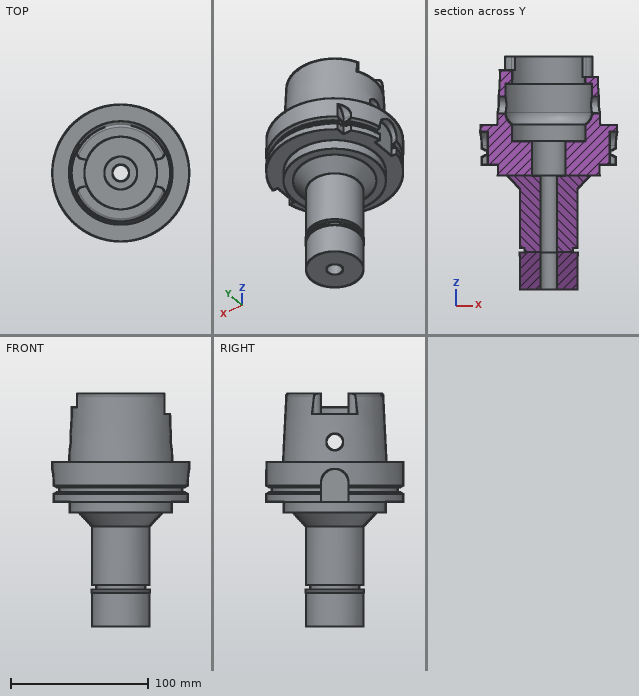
import cadquery as cq
import math


shank_height = 50.0
shank_base_radius = 37.8
shank_taper = 1 / 20
shank_top_radius = shank_base_radius - shank_taper * shank_height
shank_top_fillet = 2.0

bore_radius = 26.5
undercut_radius = 31.5
undercut_top_z = 30.0
undercut_wall_bottom_z = 9.1
undercut_arc_radius = 10.0
floor_z = -11.8
floor_hole_radius = 12.0
cross_hole_radius = 6.0
cross_hole_z = 14.6

notch_width = 20.0
notch_floor_left_z = 40.0
notch_floor_right_z = 35.0
notch_face_x = 32.0
notch_corner_radius = 5.0

flange_radius = 50.0
flange_bottom_z = -29.0
groove_root_radius = 46.0
groove_ledge_radius = 47.4
groove_top_z = -17.0
groove_bottom_z = -23.5
groove_flank_height = 1.5
collar_radius = 37.3
collar_bottom_z = -37.0

slot_radius = 10.0
slot_top_z = -5.0
drive_slot_floor_x = 44.5
index_slot_floor_x = 31.8
index_slot_y = 41.5

through_hole_radius = 6.0
cone_top_radius = 30.4
stem_radius = 21.0
cone_bottom_z = -47.0
stem_bottom_z = -89.8
neck_radius = 18.0

adapter_top_z = -92.8
adapter_bottom_z = -120.0
rim_radius = 21.4
rim_bottom_z = -95.0
rim_chamfer_bottom_z = -95.5

cut_margin = 5.0


def spin(profile):
    """Full turn of a (radius, z) profile about Z."""
    return profile.revolve(360, (0, 0, 0), (0, 1, 0))


def revolve_profile(points):
    """Solid of revolution about Z from (radius, z) points."""
    return spin(cq.Workplane("YZ").polyline(points).close())


def rim_notch(notch_floor_z):
    """Cutter for the +X rim notch: a channel that flares to the full width beyond the notch face."""
    half_width = notch_width / 2
    corner_y = half_width + notch_corner_radius
    outer = flange_radius
    outline = (
        cq.Workplane("XY", origin=(0, 0, notch_floor_z))
        .moveTo(0, -half_width)
        .lineTo(notch_face_x - notch_corner_radius, -half_width)
        .radiusArc((notch_face_x, -corner_y), notch_corner_radius)
        .lineTo(notch_face_x, -outer)
        .lineTo(outer, -outer)
        .lineTo(outer, outer)
        .lineTo(notch_face_x, outer)
        .lineTo(notch_face_x, corner_y)
        .radiusArc((notch_face_x - notch_corner_radius, half_width), notch_corner_radius)
        .lineTo(0, half_width)
        .close()
    )
    return outline.extrude(shank_height + cut_margin - notch_floor_z)


def flange_slot(floor_x, center_y):
    """Cutter for a round-topped slot, open at the bottom of the flange, on the +X side."""
    center_z = slot_top_z - slot_radius
    height = center_z - flange_bottom_z
    length = flange_radius + cut_margin - floor_x
    plane = cq.Workplane("YZ", origin=(floor_x, center_y, center_z))
    round_top = plane.circle(slot_radius).extrude(length)
    straight = plane.center(0, -height / 2).rect(2 * slot_radius, height).extrude(length)
    return round_top.union(straight)


def half_turn(cutter):
    return cutter.rotate((0, 0, 0), (0, 0, 1), 180)


def make_shank():
    shank = revolve_profile([
        (0, 0),
        (shank_base_radius, 0),
        (shank_top_radius, shank_height),
        (0, shank_height),
    ])
    return shank.faces(">Z").edges().fillet(shank_top_fillet)


def make_flange():
    return revolve_profile([
        (0, 0),
        (flange_radius, 0),
        (flange_radius, groove_top_z),
        (groove_ledge_radius, groove_top_z - groove_flank_height),
        (groove_root_radius, groove_top_z - groove_flank_height),
        (groove_root_radius, groove_bottom_z + groove_flank_height),
        (groove_ledge_radius, groove_bottom_z + groove_flank_height),
        (flange_radius, groove_bottom_z),
        (flange_radius, flange_bottom_z),
        (collar_radius, flange_bottom_z),
        (collar_radius, collar_bottom_z),
        (0, collar_bottom_z),
    ])


def make_cavity():
    """Hollow of the holder: bore, wider undercut partway down it and the hole through the floor."""
    arc_run = undercut_radius - bore_radius
    arc_drop = math.sqrt(undercut_arc_radius**2 - (undercut_arc_radius - arc_run) ** 2)
    profile = (
        cq.Workplane("YZ")
        .moveTo(0, shank_height)
        .lineTo(bore_radius, shank_height)
        .lineTo(bore_radius, undercut_top_z)
        .lineTo(undercut_radius, undercut_top_z)
        .lineTo(undercut_radius, undercut_wall_bottom_z)
        .radiusArc((bore_radius, undercut_wall_bottom_z - arc_drop), undercut_arc_radius)
        .lineTo(bore_radius, floor_z)
        .lineTo(floor_hole_radius, floor_z)
        .lineTo(floor_hole_radius, collar_bottom_z)
        .lineTo(0, collar_bottom_z)
        .close()
    )
    return spin(profile)


def make_holder():
    holder = make_shank().union(make_flange()).cut(make_cavity())
    cross_hole = (
        cq.Workplane("YZ", origin=(0, 0, cross_hole_z))
        .circle(cross_hole_radius)
        .extrude(flange_radius, both=True)
    )
    drive_slot = flange_slot(drive_slot_floor_x, 0)
    index_slot = half_turn(flange_slot(index_slot_floor_x, -index_slot_y))
    cutters = [
        cross_hole,
        rim_notch(notch_floor_right_z),
        half_turn(rim_notch(notch_floor_left_z)),
        drive_slot,
        half_turn(drive_slot),
        index_slot,
    ]
    for cutter in cutters:
        holder = holder.cut(cutter)
    return holder


def make_chuck():
    """Cone, stem and neck hanging from the collar."""
    return revolve_profile([
        (through_hole_radius, collar_bottom_z),
        (cone_top_radius, collar_bottom_z),
        (stem_radius, cone_bottom_z),
        (stem_radius, stem_bottom_z),
        (neck_radius, stem_bottom_z),
        (neck_radius, adapter_top_z),
        (through_hole_radius, adapter_top_z),
    ])


def make_adapter():
    """Sleeve with a slightly proud rim at its top."""
    return revolve_profile([
        (through_hole_radius, adapter_top_z),
        (rim_radius, adapter_top_z),
        (rim_radius, rim_bottom_z),
        (stem_radius, rim_chamfer_bottom_z),
        (stem_radius, adapter_bottom_z),
        (through_hole_radius, adapter_bottom_z),
    ])


holder = make_holder()
chuck = make_chuck()
adapter = make_adapter()

result = cq.Compound.makeCompound([holder.solids().val(), chuck.val(), adapter.val()])